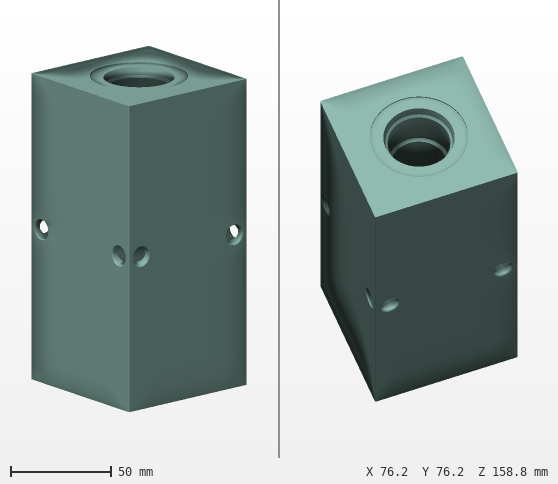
import cadquery as cq
import math

height = 158.8
width = 76.2
edge_radius = 0.5

spotface_diameter = 49.0
spotface_depth = 0.6
seat_mouth_diameter = 35.5
seat_floor_diameter = 33.7
seat_depth = 3.7
thread_diameter = 31.3
thread_depth = 22.2
bore_diameter = 28.0
drill_point_angle = 118.0

mount_hole_diameter = 9.8
mount_hole_mouth_diameter = 10.8
mount_hole_spacing = 60.3


def make_block():
    block = cq.Workplane("XY").box(width, width, height)
    return block.edges("|Z").fillet(edge_radius)


def revolve_profile(plane, profile):
    """Full turn of a closed (radius, height) profile about the plane's second axis."""
    return cq.Workplane(plane).polyline(profile).close().revolve(360, (0, 0, 0), (0, 1, 0))


def make_port_cutter():
    """Revolved port, from mid height up to the top face.

    A 45 degree lead-in joins the seat to the thread hole, and a drill point
    cone joins the thread hole to the bore.
    """
    top = height / 2
    seat_top = top - spotface_depth
    seat_floor = seat_top - seat_depth
    thread_floor = seat_top - thread_depth
    lead_in_depth = (seat_floor_diameter - thread_diameter) / 2
    drill_point_spread = math.tan(math.radians(drill_point_angle / 2))
    drill_point_depth = (thread_diameter - bore_diameter) / 2 / drill_point_spread
    profile = [
        (0, 0),
        (bore_diameter / 2, 0),
        (bore_diameter / 2, thread_floor - drill_point_depth),
        (thread_diameter / 2, thread_floor),
        (thread_diameter / 2, seat_floor - lead_in_depth),
        (seat_floor_diameter / 2, seat_floor),
        (seat_mouth_diameter / 2, seat_top),
        (spotface_diameter / 2, seat_top),
        (spotface_diameter / 2, top),
        (0, top),
    ]
    return revolve_profile("XZ", profile)


def make_mount_hole_cutter():
    """Hole along Y with a 45 degree countersink at each end."""
    half_width = width / 2
    mouth_radius = mount_hole_mouth_diameter / 2
    hole_radius = mount_hole_diameter / 2
    countersink_depth = mouth_radius - hole_radius
    profile = [
        (0, -half_width),
        (mouth_radius, -half_width),
        (hole_radius, countersink_depth - half_width),
        (hole_radius, half_width - countersink_depth),
        (mouth_radius, half_width),
        (0, half_width),
    ]
    return revolve_profile("XY", profile)


result = make_block()

upper_port = make_port_cutter()
result = result.cut(upper_port).cut(upper_port.mirror("XY"))

hole_along_y = make_mount_hole_cutter()
hole_along_x = hole_along_y.rotate((0, 0, 0), (0, 0, 1), 90)
for offset in (-mount_hole_spacing / 2, mount_hole_spacing / 2):
    result = result.cut(hole_along_y.translate((offset, 0, 0)))
    result = result.cut(hole_along_x.translate((0, offset, 0)))